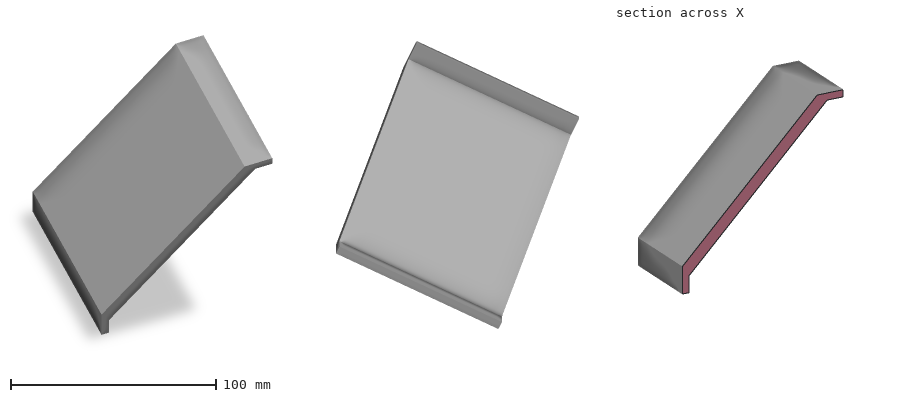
import cadquery as cq

width = 88.0
side = 90.0
flange_thickness = 4.0
outer_flange = 14.6
inner_flange = 9.0

profile = [
    (0, 0),
    (0, outer_flange),
    (side - outer_flange, side),
    (side, side),
    (side, side - flange_thickness),
    (side - inner_flange, side - flange_thickness),
    (flange_thickness, inner_flange),
    (flange_thickness, 0),
]

result = cq.Workplane("YZ").polyline(profile).close().extrude(width)